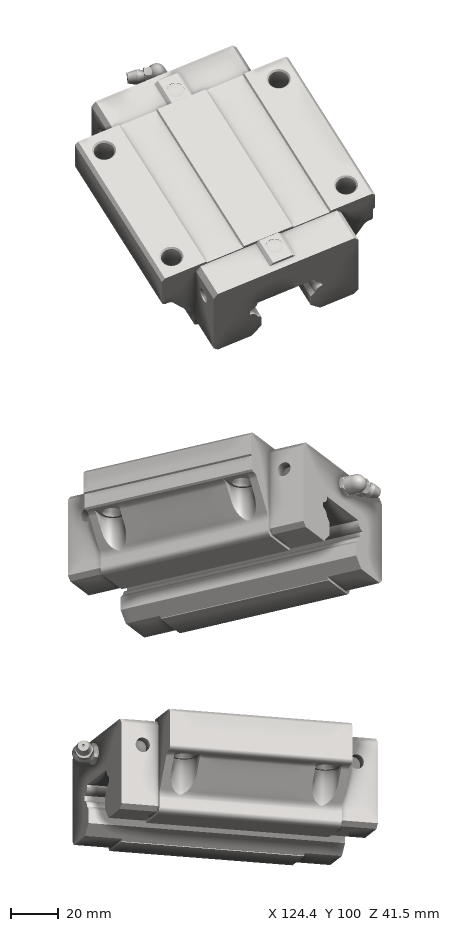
import cadquery as cq
import math


block_length = 80.0
block_width = 100.0
block_height = 41.5
top_chamfer = 1.5
flange_bottom = 23.6
flange_corner_radius = 1.9
web_half_width = 35.1
web_bottom_radius = 2.4
slope_top_y = 45.7
slope_bottom_z = 8.5
slope_top_radius = 3.1
slope_bottom_radius = 5.0

relief_depth = 0.9
relief_top = 31.1
relief_corner = 0.7

channel_inner_y = 11.3
channel_outer_y = 29.4
channel_depth = 0.7
channel_side = 0.6

hole_x = 31.0
hole_y = 40.9
hole_diameter = 8.7
hole_mouth_diameter = 10.1
hole_clearance_diameter = 11.2

opening_roof = 22.5
ridge_edge_y = 13.4
groove_y = 17.0
groove_z = 17.5
groove_half_height = 1.18
ridge_middle_y = 14.4
ridge_middle_rise = 2.5
ridge_edge_rise = 4.4
throat_half_width = 11.6
throat_top = 11.6
throat_bottom = 5.6
mouth_half_width = 16.9

caps_length = 112.5
cap_width = 67.9
cap_bottom = 1.1
cap_top = 40.0
cap_chamfer = 2.0
cap_top_chamfer_height = 2.2
seal_thickness = 3.1
boss_top = 41.3
boss_base_width = 12.1
boss_top_width = 8.8
boss_mark_x = 45.5
boss_mark_diameter = 7.5
boss_mark_depth = 0.2
side_hole_x = 46.9
side_hole_z = 29.0
side_hole_diameter = 6.2
side_hole_depth = 5.0

nipple_z = 32.5
collar_diameter = 5.6
collar_length = 0.5
base_hex_flats = 8.1
base_hex_length = 2.1
elbow_radius = 4.0
elbow_length = 4.1
spout_angle = 20.0
spout_axis_setback = 1.4
spout_hex_corners = 8.1
spout_hex_start = 2.6
spout_hex_end = 6.0
hex_chamfer = 0.5
spout_neck_diameter = 5.2
spout_rim_diameter = 6.6
spout_rim_at = 8.7
spout_tip_diameter = 4.6
spout_length = 12.9
grease_hole_diameter = 1.2
grease_hole_depth = 1.2


def extrude_along_x(outline, length):
    """Extrude a YZ outline symmetrically about X = 0."""
    return cq.Workplane("YZ").polyline(outline).close().extrude(length / 2, both=True)


def mirrored(side):
    """Close an outline by mirroring one side about Y = 0."""
    return side + [(-y, z) for y, z in reversed(side)]


def x_edges_at(y, z):
    """Select the edges along X that pass through (Y, Z)."""
    margin = 0.1
    reach = block_length
    return cq.selectors.BoxSelector(
        (-reach, y - margin, z - margin), (reach, y + margin, z + margin)
    )


def make_block():
    half = block_width / 2
    side = [
        (half - top_chamfer, block_height),
        (half, block_height - top_chamfer),
        (half, flange_bottom),
        (slope_top_y, flange_bottom),
        (web_half_width, slope_bottom_z),
        (web_half_width, 0),
    ]
    block = extrude_along_x(mirrored(side), block_length)

    relief_y = half - relief_depth
    relief = [
        (half, relief_top),
        (relief_y, relief_top - relief_depth / 2),
        (relief_y, flange_bottom + relief_corner),
        (relief_y - relief_corner, flange_bottom),
        (half, flange_bottom),
    ]
    block = block.cut(extrude_along_x(relief, block_length))

    block = block.edges(x_edges_at(-half, flange_bottom)).fillet(flange_corner_radius)
    for sign in (-1, 1):
        block = block.edges(x_edges_at(sign * slope_top_y, flange_bottom)).fillet(slope_top_radius)
        block = block.edges(x_edges_at(sign * web_half_width, slope_bottom_z)).fillet(slope_bottom_radius)
        block = block.edges(x_edges_at(sign * web_half_width, 0)).fillet(web_bottom_radius)
        channel = [
            (sign * channel_inner_y, block_height),
            (sign * (channel_inner_y + channel_side), block_height - channel_depth),
            (sign * (channel_outer_y - channel_side), block_height - channel_depth),
            (sign * channel_outer_y, block_height),
        ]
        block = block.cut(extrude_along_x(channel, block_length))
    return block.cut(make_mounting_holes())


def make_mounting_holes():
    radius = hole_diameter / 2
    mouth_radius = hole_mouth_diameter / 2
    clearance_radius = hole_clearance_diameter / 2
    mouth_bottom = block_height - (mouth_radius - radius)
    half_section = [
        (0, 0),
        (clearance_radius, 0),
        (clearance_radius, flange_bottom),
        (radius, flange_bottom),
        (radius, mouth_bottom),
        (mouth_radius, block_height),
        (0, block_height),
    ]
    run_out_length = block_width / 2 - hole_y
    hole = cq.Workplane("XZ").polyline(half_section).close().revolve(360, (0, 0), (0, 1))
    holes = cq.Workplane("XY")
    for x in (-hole_x, hole_x):
        for y in (-hole_y, hole_y):
            holes = holes.add(hole.translate((x, y, 0)))
            run_out = cq.Workplane("XY").box(
                hole_clearance_diameter, run_out_length, flange_bottom, centered=(True, True, False)
            )
            holes = holes.add(run_out.translate((x, y + math.copysign(run_out_length / 2, y), 0)))
    return holes.combine()


def make_end_caps():
    """Both caps as one bar along X; its middle lies inside the block."""
    half = cap_width / 2
    side = [
        (half - cap_chamfer, cap_top),
        (half, cap_top - cap_top_chamfer_height),
        (half, cap_bottom + cap_chamfer),
        (half - cap_chamfer, cap_bottom),
    ]
    caps = extrude_along_x(mirrored(side), caps_length)

    boss_side = [(boss_top_width / 2, boss_top), (boss_base_width / 2, cap_top)]
    caps = caps.union(extrude_along_x(mirrored(boss_side), caps_length - 2 * seal_thickness))

    marks = (
        cq.Workplane("XY", origin=(0, 0, boss_top))
        .pushPoints([(-boss_mark_x, 0), (boss_mark_x, 0)])
        .circle(boss_mark_diameter / 2)
        .extrude(-boss_mark_depth)
    )
    side_holes = (
        cq.Workplane("XZ", origin=(0, -half, 0))
        .pushPoints([(-side_hole_x, side_hole_z), (side_hole_x, side_hole_z)])
        .circle(side_hole_diameter / 2)
        .extrude(-side_hole_depth)
    )
    side_holes = side_holes.union(side_holes.mirror("XZ"))
    return caps.cut(marks).cut(side_holes)


def make_rail_opening():
    mouth_top = throat_bottom - (mouth_half_width - throat_half_width)
    half_opening = (
        cq.Workplane("YZ")
        .moveTo(0, opening_roof)
        .lineTo(ridge_edge_y, opening_roof)
        .lineTo(ridge_edge_y, groove_z + ridge_edge_rise)
        .threePointArc(
            (ridge_middle_y, groove_z + ridge_middle_rise), (groove_y, groove_z + groove_half_height)
        )
        .lineTo(groove_y, groove_z - groove_half_height)
        .threePointArc(
            (ridge_middle_y, groove_z - ridge_middle_rise), (ridge_edge_y, groove_z - ridge_edge_rise)
        )
        .lineTo(throat_half_width, throat_top)
        .lineTo(throat_half_width, throat_bottom)
        .lineTo(mouth_half_width, mouth_top)
        .lineTo(mouth_half_width, 0)
        .lineTo(0, 0)
        .close()
        .extrude(caps_length / 2, both=True)
    )
    return half_opening.union(half_opening.mirror("XZ"))


def chamfered_hex(plane, corners, length):
    """Hexagonal prism along the plane normal, its corners turned off at both ends."""
    prism = cq.Workplane(plane).polygon(6, corners).extrude(length)
    turned = cq.Workplane(plane).circle(corners / 2).extrude(length).edges().chamfer(hex_chamfer)
    return prism.intersect(turned)


def make_nipple():
    """Elbow nipple on the -X cap, its spout turned towards -Y."""
    cap_face = -caps_length / 2
    flange_start = cap_face - collar_length
    flange_end = flange_start - base_hex_length
    elbow_x = flange_end - elbow_length
    diagonal = elbow_radius * math.sin(math.radians(45))

    hex_plane = cq.Plane(origin=(flange_start, 0, nipple_z), xDir=(0, 0, 1), normal=(-1, 0, 0))
    base_hex = chamfered_hex(hex_plane, base_hex_flats / math.cos(math.radians(30)), base_hex_length)
    collar = (
        cq.Workplane("YZ", origin=(cap_face, 0, nipple_z))
        .circle(collar_diameter / 2)
        .extrude(-collar_length)
    )
    elbow = (
        cq.Workplane("XZ", origin=(elbow_x, 0, nipple_z))
        .moveTo(-elbow_radius, 0)
        .threePointArc((-diagonal, diagonal), (0, elbow_radius))
        .lineTo(elbow_length, elbow_radius)
        .lineTo(elbow_length, 0)
        .close()
        .revolve(360, (0, 0), (1, 0))
    )

    tilt = math.radians(spout_angle)
    spout_direction = (-math.sin(tilt), -math.cos(tilt), 0)
    across_spout = (math.cos(tilt), -math.sin(tilt), 0)
    spout_origin = (elbow_x + spout_axis_setback, 0, nipple_z)
    spout_plane = cq.Plane(origin=spout_origin, xDir=across_spout, normal=spout_direction)
    section_plane = cq.Plane(origin=spout_origin, xDir=across_spout, normal=(0, 0, -1))

    spout_hex_plane = cq.Workplane(spout_plane).workplane(offset=spout_hex_start).plane
    spout_hex = chamfered_hex(spout_hex_plane, spout_hex_corners, spout_hex_end - spout_hex_start)
    grease_hole_floor = spout_length - grease_hole_depth
    half_section = [
        (0, 0),
        (spout_neck_diameter / 2, 0),
        (spout_neck_diameter / 2, spout_hex_end),
        (spout_rim_diameter / 2, spout_rim_at),
        (spout_tip_diameter / 2, spout_length),
        (grease_hole_diameter / 2, spout_length),
        (grease_hole_diameter / 2, grease_hole_floor),
        (0, grease_hole_floor),
    ]
    nozzle = (
        cq.Workplane(section_plane).polyline(half_section).close().revolve(360, (0, 0), (0, 1))
    )
    return base_hex.union(collar).union(elbow).union(spout_hex).union(nozzle)


carriage = make_block().union(make_end_caps()).cut(make_rail_opening())
result = carriage.union(make_nipple())